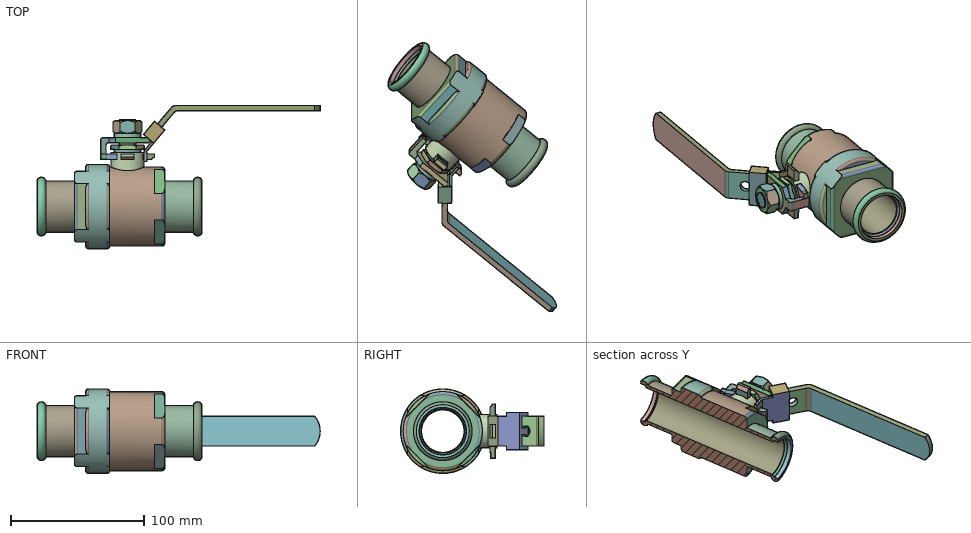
import cadquery as cq
import math


OVERALL_LENGTH = 212.6
OVERALL_HEIGHT = 107.8

RUN_LENGTH = 123.8
RUN_START = -67.8
RUN_MID = RUN_START + RUN_LENGTH / 2
PIPE_DIA = 38.7
BORE_DIA = 32
BEAD_RADIUS = 3.5
BEAD_CENTRE = 3.2
BEAD_DIA = 44.2
MOUTH_DIA = 35.7
MOUTH_DEPTH = 3.5
SEAT_DIA = 35.3
SEAT_END_DIA = 33.2
SEAT_DEPTH = 5.0

BODY_LENGTH = 68
BODY_START = RUN_MID - BODY_LENGTH / 2
BODY_END = BODY_START + BODY_LENGTH
BODY_DIA = 59.5
BODY_FILLET = 2.3
COLLAR_DIA = 63.5
COLLAR_START = BODY_START + 8.5
COLLAR_END = BODY_START + 26.5
COLLAR_FILLET = 2.1
END_SQUARE = 53.4
END_FILLET = 2.1
WRENCH_SQUARE = 53.8
WRENCH_LENGTH = 7.9

STEM_DIA = 25.0
STEM_TOP = 40.8
WASHER_DIA = 20.0
LOWER_NUT_BOTTOM = 43.0
LOWER_NUT_TOP = 46.4
LOWER_NUT_CORNERS = 25.5
LOWER_NUT_CHAMFER = 1.0
NECK_DIA = 12.5
UPPER_WASHER_TOP = 55.0
UPPER_NUT_TOP = 64.6
UPPER_NUT_CORNERS = 22.1
UPPER_NUT_CHAMFER = 1.5
STUD_DIA = 12.0
STUD_TOP = 65.5

EAR_BOTTOM = 35.3
EAR_TOP = 39.5
EAR_REACH = 20.5
EAR_WIDTH = 10.0
EAR_CHAMFER_LENGTH = 2.8
EAR_CHAMFER_HEIGHT = 2.1
THIN_TIP_START = 16.0
THIN_TIP_STEP = 0.6
SIDE_EAR_LOW = 2.5
SIDE_EAR_HIGH = 7.9
SIDE_ROOT_HIGH = 10.0
SIDE_ROOT_END = -7.9

LEVER_THICK = 4.0
LEVER_WIDTH = 22.5
LEVER_TIP = RUN_START + OVERALL_LENGTH
LEVER_TOP = OVERALL_HEIGHT - COLLAR_DIA / 2
PLATE_TOP = 51.9
ARM_START = -20.2
ARM_WIDTH = 7.2
ARM_LEAD = 0.2
TAPER_START = -13.8
TAPER_END = -9.0
TIP_SAGITTA = 4.3
LEVER_ANGLE = 50
GRIP_BEND_RADIUS = 4.3
ARM_BEND_RADIUS = 2.0
LEVER_HOLE_DIA = 8.0
LEVER_HOLE_SHIFT = 9.8

SLEEVE_X = 20.0
SLEEVE_Y = 56.0
SLEEVE_LENGTH = 13.0
SLEEVE_THICK = 10.2
SLEEVE_WIDTH = 28.0
LATCH_THICK = 2.0
LATCH_X = STEM_DIA / 2 + LATCH_THICK / 2
LATCH_BOTTOM = 33.8

SLOPE = math.tan(math.radians(LEVER_ANGLE))


def rod_x(start, end, diameter):
    """Cylinder on the pipe axis."""
    return cq.Workplane("YZ", origin=(start, 0, 0)).circle(diameter / 2).extrude(end - start)


def rod_y(bottom, top, diameter):
    """Cylinder on the stem axis."""
    return cq.Workplane("XZ", origin=(0, bottom, 0)).circle(diameter / 2).extrude(bottom - top)


def block(x_range, y_range, z_range):
    """Box between two limits on each axis."""
    (x0, x1), (y0, y1), (z0, z1) = x_range, y_range, z_range
    return cq.Workplane("XY").box(x1 - x0, y1 - y0, z1 - z0, centered=False).translate((x0, y0, z0))


def bent_strip(path, thickness, width):
    """Strip of constant thickness whose mid-line is a polyline in XY, centred on Z = 0."""
    angles = [math.atan2(b[1] - a[1], b[0] - a[0]) for a, b in zip(path, path[1:])]
    before = [angles[0]] + angles
    after = angles + [angles[-1]]
    left, right = [], []
    for (x, y), a, b in zip(path, before, after):
        mid = (a + b) / 2
        reach = thickness / 2 / math.cos((b - a) / 2)
        dx = -reach * math.sin(mid)
        dy = reach * math.cos(mid)
        left.append((x + dx, y + dy))
        right.append((x - dx, y - dy))
    outline = left + right[::-1]
    return cq.Workplane("XY").polyline(outline).close().extrude(width / 2, both=True)


def make_body():
    end_block = block((BODY_START, COLLAR_END), (-END_SQUARE / 2, END_SQUARE / 2),
                      (-END_SQUARE / 2, END_SQUARE / 2))
    end_block = end_block.faces("<X").edges().fillet(END_FILLET)
    left_end = end_block.intersect(rod_x(BODY_START, COLLAR_END, COLLAR_DIA))
    collar = rod_x(COLLAR_START, COLLAR_END, COLLAR_DIA).edges("%CIRCLE").fillet(COLLAR_FILLET)
    barrel = rod_x(COLLAR_START + COLLAR_FILLET, BODY_END, BODY_DIA).faces(">X").edges().fillet(BODY_FILLET)

    wrench_start = BODY_END - WRENCH_LENGTH
    keep = (cq.Workplane("YZ", origin=(wrench_start, 0, 0))
            .rect(WRENCH_SQUARE, WRENCH_SQUARE).extrude(WRENCH_LENGTH)
            .rotate((0, 0, 0), (1, 0, 0), 45))
    waste = rod_x(wrench_start, BODY_END, 2 * BODY_DIA).cut(keep)
    return left_end.union(collar).union(barrel.cut(waste))


def both_ends(feature):
    """A feature at the left pipe end together with its mirror image at the right one."""
    return feature.union(feature.mirror("YZ", (RUN_MID, 0, 0)))


def make_pipes():
    tube = rod_x(RUN_START, RUN_START + RUN_LENGTH, PIPE_DIA)
    centre_radius = BEAD_DIA / 2 - BEAD_RADIUS
    ring = (cq.Workplane("XY").center(RUN_START + BEAD_CENTRE, centre_radius).circle(BEAD_RADIUS)
            .revolve(360, (0, -centre_radius, 0), (1, -centre_radius, 0)))
    ring = ring.intersect(rod_x(RUN_START, RUN_START + 2 * BEAD_RADIUS, 2 * BEAD_DIA))
    return tube.union(both_ends(ring))


def make_bore():
    mouth = rod_x(RUN_START, RUN_START + MOUTH_DEPTH, MOUTH_DIA)
    seat = (cq.Workplane("YZ", origin=(RUN_START + MOUTH_DEPTH, 0, 0)).circle(SEAT_DIA / 2)
            .workplane(offset=SEAT_DEPTH - MOUTH_DEPTH).circle(SEAT_END_DIA / 2).loft(ruled=True))
    bore = rod_x(RUN_START, RUN_START + RUN_LENGTH, BORE_DIA)
    return bore.union(both_ends(mouth.union(seat)))


def make_nut(bottom, top, corners, chamfer, chamfered_edges):
    """Hex nut with corners on the X axis; only the selected end edges are turned off."""
    prism = cq.Workplane("XZ", origin=(0, bottom, 0)).polygon(6, corners).extrude(bottom - top)
    envelope = rod_y(bottom, top, corners).edges(chamfered_edges).chamfer(chamfer)
    return prism.intersect(envelope)


def make_stem():
    plate_bottom = PLATE_TOP - LEVER_THICK
    stem = rod_y(0, STEM_TOP, STEM_DIA)
    stem = stem.union(rod_y(STEM_TOP, LOWER_NUT_BOTTOM, WASHER_DIA))
    stem = stem.union(make_nut(LOWER_NUT_BOTTOM, LOWER_NUT_TOP, LOWER_NUT_CORNERS,
                               LOWER_NUT_CHAMFER, ">Y"))
    stem = stem.union(rod_y(LOWER_NUT_TOP, plate_bottom, NECK_DIA))
    stem = stem.union(rod_y(PLATE_TOP, UPPER_WASHER_TOP, WASHER_DIA))
    stem = stem.union(make_nut(UPPER_WASHER_TOP, UPPER_NUT_TOP, UPPER_NUT_CORNERS,
                               UPPER_NUT_CHAMFER, "%CIRCLE"))
    return stem.union(rod_y(plate_bottom, STUD_TOP, STUD_DIA))


def make_ears():
    heights = (EAR_BOTTOM, EAR_TOP)
    half = (-EAR_WIDTH / 2, EAR_WIDTH / 2)
    right_ear = (cq.Workplane("XY")
                 .moveTo(0, EAR_BOTTOM).lineTo(EAR_REACH - EAR_CHAMFER_LENGTH, EAR_BOTTOM)
                 .lineTo(EAR_REACH, EAR_BOTTOM + EAR_CHAMFER_HEIGHT).lineTo(EAR_REACH, EAR_TOP)
                 .lineTo(0, EAR_TOP).close().extrude(EAR_WIDTH / 2, both=True))
    upper_ear = right_ear.rotate((0, 0, 0), (0, 1, 0), -90)
    tip_heights = (EAR_BOTTOM + THIN_TIP_STEP, EAR_TOP)
    lower_ear = block(half, heights, (-THIN_TIP_START, 0))
    lower_tip = block(half, tip_heights, (-EAR_REACH, 0))
    side_tip = block((ARM_START + ARM_LEAD, -THIN_TIP_START), tip_heights, (SIDE_EAR_LOW, SIDE_EAR_HIGH))
    side_root = (cq.Workplane("XZ", origin=(0, EAR_BOTTOM, 0))
                 .polyline([(-THIN_TIP_START, SIDE_EAR_LOW), (SIDE_ROOT_END, SIDE_EAR_LOW),
                            (SIDE_ROOT_END, SIDE_ROOT_HIGH), (-THIN_TIP_START, SIDE_EAR_HIGH)])
                 .close().extrude(EAR_BOTTOM - EAR_TOP))
    ears = right_ear
    for ear in (upper_ear, lower_ear, lower_tip, side_tip, side_root):
        ears = ears.union(ear)
    return ears


def make_lever_hole():
    hole = cq.Workplane("XZ").circle(LEVER_HOLE_DIA / 2).extrude(LEVER_THICK, both=True)
    hole = hole.translate((LEVER_HOLE_SHIFT, 0, 0)).rotate((0, 0, 0), (0, 0, 1), LEVER_ANGLE)
    return hole.translate((SLEEVE_X, SLEEVE_Y, 0))


def make_lever():
    plate_mid = PLATE_TOP - LEVER_THICK / 2
    grip_mid = LEVER_TOP - LEVER_THICK / 2
    arm_mid = ARM_START + LEVER_THICK / 2
    path = [
        (arm_mid, EAR_BOTTOM),
        (arm_mid, plate_mid),
        (SLEEVE_X + (plate_mid - SLEEVE_Y) / SLOPE, plate_mid),
        (SLEEVE_X + (grip_mid - SLEEVE_Y) / SLOPE, grip_mid),
        (LEVER_TIP, grip_mid),
    ]
    lever = bent_strip(path, LEVER_THICK, LEVER_WIDTH)
    for (x, y), radius in ((path[1], ARM_BEND_RADIUS), (path[3], GRIP_BEND_RADIUS)):
        bend = cq.selectors.BoxSelector((x - LEVER_THICK, y - LEVER_THICK, -LEVER_WIDTH),
                                        (x + LEVER_THICK, y + LEVER_THICK, LEVER_WIDTH))
        lever = lever.edges(bend).edges("|Z").fillet(radius)
    lever = lever.cut(make_lever_hole())

    half = LEVER_WIDTH / 2
    shoulder = LEVER_TIP - TIP_SAGITTA
    planform = (cq.Workplane("XZ")
                .moveTo(ARM_START, -ARM_WIDTH / 2).lineTo(TAPER_START, -ARM_WIDTH / 2)
                .lineTo(TAPER_END, -half).lineTo(shoulder, -half)
                .threePointArc((LEVER_TIP, 0), (shoulder, half))
                .lineTo(TAPER_END, half).lineTo(TAPER_START, ARM_WIDTH / 2)
                .lineTo(ARM_START, ARM_WIDTH / 2).close().extrude(-2 * LEVER_TOP))
    return lever.intersect(planform)


def make_sleeve():
    sleeve = cq.Workplane("XY").box(SLEEVE_LENGTH, SLEEVE_THICK, SLEEVE_WIDTH)
    return sleeve.rotate((0, 0, 0), (0, 0, 1), LEVER_ANGLE).translate((SLEEVE_X, SLEEVE_Y, 0))


def make_latch():
    """Thin latch lying along the underside of the sleeve and hanging down beside the stem."""
    slope = math.radians(LEVER_ANGLE)
    underside = (SLEEVE_THICK - LATCH_THICK) / 2
    upper_end = (SLEEVE_X + underside * math.sin(slope), SLEEVE_Y - underside * math.cos(slope))
    bend = (LATCH_X, upper_end[1] - (upper_end[0] - LATCH_X) * SLOPE)
    return bent_strip([(LATCH_X, LATCH_BOTTOM), bend, upper_end], LATCH_THICK, LEVER_WIDTH)


valve = make_body().union(make_pipes()).union(make_stem()).union(make_ears()).cut(make_bore())
handle = make_lever().union(make_sleeve()).union(make_latch())
result = valve.union(handle)